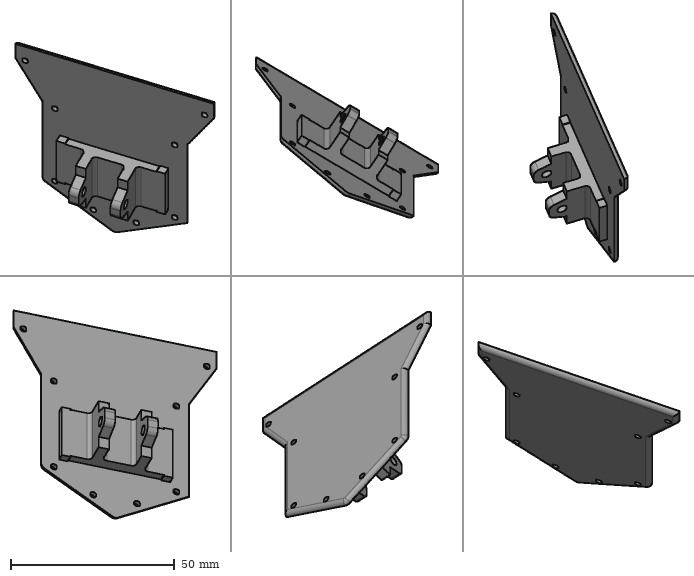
import cadquery as cq
import math

plate_height = 69.9
plate_width = 66.0
body_width = 48.1
plate_thickness = 1.75
shoulder_top_z = 63.6
shoulder_angle = 60.0
tip_angle = 30.0
tip_radius = 2.0
lower_corner_radius = 2.0
rim_radius = 1.7

plate_hole_diameter = 1.95
plate_holes = [(29.85, 63.75), (19.9, 46.5), (19.9, 14.4), (7.1, 6.9)]

bracket_x = -0.2
bracket_z = 26.4
base_width = 36.1
base_height = 17.95
base_depth = 2.6
middle_width = 30.3
middle_height = 17.25
web_depth = 3.85
arm_gap = 10.55
arm_thickness = 3.35
arm_depth = 9.8
arm_fillet = 1.3

lug_depth = 15.5
lug_root_height = 9.5
lug_taper_angle = 18.0
lug_corner_radius = 2.25
pivot_diameter = 3.1
pivot_depth = 11.3


def make_plate():
    half_width = plate_width / 2
    half_body = body_width / 2
    shoulder_drop = (half_width - half_body) * math.tan(math.radians(shoulder_angle))
    sharp_tip_z = -tip_radius * (1 / math.cos(math.radians(tip_angle)) - 1)
    corner_z = sharp_tip_z + half_body * math.tan(math.radians(tip_angle))
    right_side = [
        (half_body, corner_z),
        (half_body, shoulder_top_z - shoulder_drop),
        (half_width, shoulder_top_z),
        (half_width, plate_height),
    ]
    left_side = [(-x, z) for x, z in reversed(right_side)]
    plate = (
        cq.Workplane("XZ")
        .polyline([(0, sharp_tip_z)] + right_side + left_side)
        .close()
        .extrude(-plate_thickness)
    )
    plate = plate.edges("|Y").edges("<Z").fillet(tip_radius)
    lower_left_corner = cq.selectors.NearestToPointSelector((-half_body, plate_thickness / 2, corner_z))
    plate = plate.edges("|Y").edges(lower_left_corner).fillet(lower_corner_radius)
    plate = plate.faces(">Y").edges().fillet(rim_radius)
    holes = (
        cq.Workplane("XZ")
        .pushPoints([(side * x, z) for x, z in plate_holes for side in (-1, 1)])
        .circle(plate_hole_diameter / 2)
        .extrude(-plate_thickness)
    )
    return plate.cut(holes)


def make_base_tabs():
    """Two blocks, slightly taller than the middle section, at the ends of the bracket base."""
    tab_width = (base_width - middle_width) / 2
    tab_offset = (base_width - tab_width) / 2
    return (
        cq.Workplane("XZ", origin=(bracket_x, 0, bracket_z))
        .pushPoints([(-tab_offset, 0), (tab_offset, 0)])
        .rect(tab_width, base_height)
        .extrude(base_depth)
    )


def make_middle():
    """Web and two arms: one profile in plan, extruded along Z."""
    inner = arm_gap / 2
    outer = inner + arm_thickness
    right_side = [
        (inner, -web_depth),
        (inner, -arm_depth),
        (outer, -arm_depth),
        (outer, -base_depth),
        (middle_width / 2, -base_depth),
        (middle_width / 2, 0),
    ]
    left_side = [(-x, y) for x, y in reversed(right_side)]
    middle = (
        cq.Workplane("XY", origin=(bracket_x, 0, bracket_z - middle_height / 2))
        .polyline(right_side + left_side)
        .close()
        .extrude(middle_height)
    )
    for x, depth in [(inner, web_depth), (outer, base_depth)]:
        for side in (-1, 1):
            root = cq.selectors.NearestToPointSelector((bracket_x + side * x, -depth, bracket_z))
            middle = middle.edges("|Z").edges(root).fillet(arm_fillet)
    return middle


def make_lug(arm_x):
    root = lug_root_height / 2
    tip = root - (lug_depth - arm_depth) * math.tan(math.radians(lug_taper_angle))
    return (
        cq.Workplane("YZ", origin=(arm_x - arm_thickness / 2, 0, bracket_z))
        .polyline([(-arm_depth, -root), (-lug_depth, -tip), (-lug_depth, tip), (-arm_depth, root)])
        .close()
        .extrude(arm_thickness)
        .edges("|X and <Y")
        .fillet(lug_corner_radius)
    )


def make_bracket():
    bracket = make_middle().union(make_base_tabs())
    arm_offset = (arm_gap + arm_thickness) / 2
    for side in (-1, 1):
        bracket = bracket.union(make_lug(bracket_x + side * arm_offset))
    pivot = (
        cq.Workplane("YZ", origin=(bracket_x, 0, bracket_z))
        .center(-pivot_depth, 0)
        .circle(pivot_diameter / 2)
        .extrude(arm_offset + arm_thickness, both=True)
    )
    return bracket.cut(pivot)


result = make_plate().union(make_bracket())